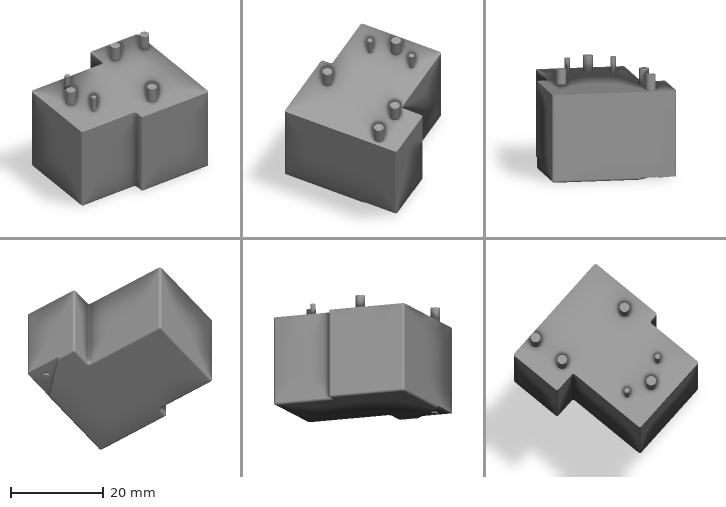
import cadquery as cq

width = 27.4
length = 31.7
total_height = 22.9
pin_length = 3.5
body_height = total_height - pin_length

left_step = 5.3
left_shoulder_length = 12.6
right_step = 2.5
right_shoulder_length = 17.7
edge_radius = 0.5

pitch = 2.54
common_to_left = 14.18
common_to_front = 4.42
contact_pin_diameter = 2.1
coil_pin_diameter = 1.1
contact_pins = [
    (0, 0),
    (-3.5 * pitch, 7 * pitch),
    (-3.5 * pitch, 10 * pitch),
    (3.5 * pitch, 6 * pitch),
]
coil_pins = [(-2 * pitch, pitch), (2 * pitch, pitch)]

recess_leg = 8.35
recess_depth = 0.5
post_diameter = 1.5
post_inset = 3.0

left = -common_to_left
right = left + width
front = -common_to_front
back = front + length
bottom = -body_height


def make_body():
    outline = [
        (left, back),
        (right, back),
        (right, back - right_shoulder_length),
        (right - right_step, back - right_shoulder_length),
        (right - right_step, front),
        (left + left_step, front),
        (left + left_step, back - left_shoulder_length),
        (left, back - left_shoulder_length),
    ]
    block = cq.Workplane("XY").workplane(offset=bottom).polyline(outline).close().extrude(body_height)
    return block.edges("|Z").fillet(edge_radius).faces("<Z").edges().fillet(edge_radius)


def make_corner_recess():
    corners = [(left, back), (left + recess_leg, back), (left, back - recess_leg)]
    return cq.Workplane("XY").workplane(offset=bottom).polyline(corners).close().extrude(recess_depth)


def make_corner_post():
    base = cq.Workplane("XY").workplane(offset=bottom)
    return base.center(left + post_inset, back - post_inset).circle(post_diameter / 2).extrude(recess_depth)


def make_pins(positions, diameter):
    return cq.Workplane("XY").pushPoints(positions).circle(diameter / 2).extrude(pin_length)


result = (
    make_body()
    .cut(make_corner_recess())
    .union(make_corner_post())
    .union(make_pins(contact_pins, contact_pin_diameter))
    .union(make_pins(coil_pins, coil_pin_diameter))
)